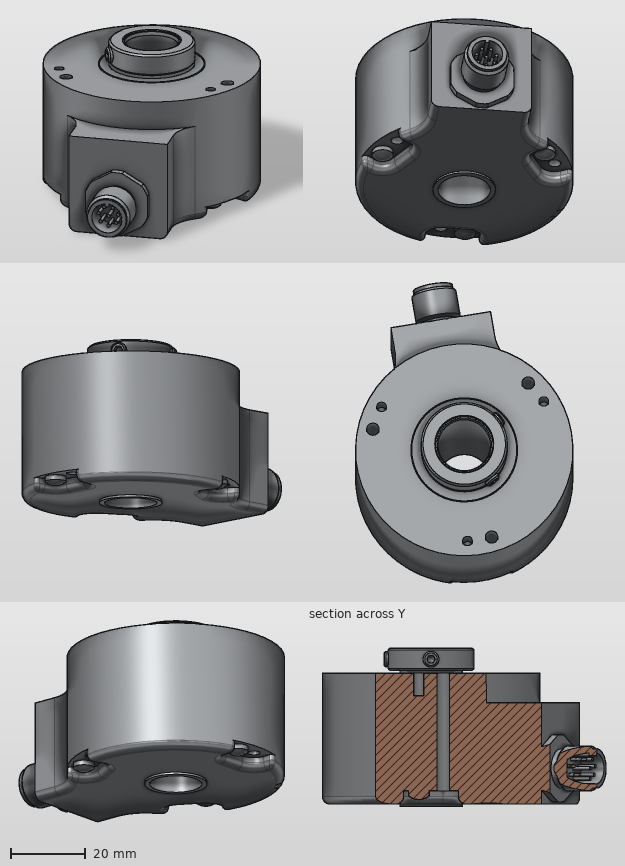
import cadquery as cq
import math


housing_radius = 29.0
housing_height = 35.0
bottom_fillet = 2.1

block_angle = -30
block_reach = 38.0
block_half_width = 13.5
block_height = 27.1
block_blend_radius = 10.0

bore_radius = 7.0
shaft_radius = 8.3
shaft_bottom = -0.6
shaft_end_drop = 0.4
lead_in_radius = 7.3
lead_in_length = 0.9
collar_radius = 11.5
collar_bore_radius = 7.65
collar_bore_chamfer = 0.2
collar_bottom = 35.7
collar_top = 41.7
collar_chamfer = 0.5

screw_angles = (180, 270)
screw_radius = 2.1
screw_chamfer = 0.45
screw_reach = 12.5
hex_socket_width = 2.0
hex_socket_depth = 1.5
drill_tip_depth = 0.6
screw_height = (collar_bottom + collar_top) / 2

recess_radius = 11.45
recess_depth = 0.4
groove_outer_radius = 14.25
groove_width = 0.2
groove_depth = 0.2

pair_angles = (30, 150, 270)
hole_circle_radius = 25
pair_half_angle = 7.5
through_hole_radius = 1.7
blind_hole_radius = 1.3
blind_hole_depth = 6.05

notch_height = 3.55
notch_corner_radius = 4.0
notch_mouth_radius = 1.0
head_radius = 2.8
head_rim_height = 2.3
head_crown_height = 1.2
head_crown_rise = head_rim_height - head_crown_height
head_crown_radius = (head_radius**2 + head_crown_rise**2) / (2 * head_crown_rise)

plug_height = 9.55
nut_across_flats = 17.0
nut_corner_radius = 9.0
nut_front = block_reach + 2.0
neck_radius = 5.2
neck_front = nut_front + 1.5
barrel_radius = 6.0
barrel_front = 49.9
barrel_chamfer = 0.75
tip_radius = 5.3
tip_front = 50.9
socket_radius = 4.1
socket_floor = 43.95
socket_depth = tip_front - socket_floor
pin_count = 7
pin_circle_radius = 2.7
pin_radius = 0.45
pin_front = 49.1
key_width = 1.05
key_depth = 0.75


def polar(radius, angle):
    """Point in the XY plane at a radius and an angle in degrees."""
    return radius * math.cos(math.radians(angle)), radius * math.sin(math.radians(angle))


def cylinder(radius, bottom, top):
    return cq.Workplane("XY").workplane(offset=bottom).circle(radius).extrude(top - bottom)


def spin(shape, angle):
    return shape.rotate((0, 0, 0), (0, 0, 1), angle)


def along_x(height):
    """Workplane facing +X at the given height, with its local x along +Y and local y along +Z."""
    return cq.Workplane("YZ", origin=(0, 0, height))


def make_block():
    """Connector block along +X whose sides blend into the housing with tangent concave arcs."""
    blend_y = block_half_width + block_blend_radius
    centre_distance = housing_radius + block_blend_radius
    blend_x = math.sqrt(centre_distance**2 - blend_y**2)
    touch_angle = math.degrees(math.atan2(blend_y, blend_x))
    touch_x, touch_y = polar(housing_radius, touch_angle)
    middle_angle = (touch_angle + 90) / 2
    middle_x = blend_x - block_blend_radius * math.cos(math.radians(middle_angle))
    middle_y = blend_y - block_blend_radius * math.sin(math.radians(middle_angle))
    block = (
        cq.Workplane("XY")
        .moveTo(0, 0)
        .lineTo(touch_x, -touch_y)
        .threePointArc((middle_x, -middle_y), (blend_x, -block_half_width))
        .lineTo(block_reach, -block_half_width)
        .lineTo(block_reach, block_half_width)
        .lineTo(blend_x, block_half_width)
        .threePointArc((middle_x, middle_y), (touch_x, touch_y))
        .close()
        .extrude(block_height)
    )
    return spin(block, block_angle)


def make_notch():
    """Rim pocket along +X with its two inner corners centred on a pair of holes."""
    corner_x, corner_y = polar(hole_circle_radius, pair_half_angle)
    inner_x = corner_x - notch_corner_radius
    half_width = corner_y + notch_corner_radius
    outer_x = housing_radius + notch_corner_radius
    return (
        cq.Workplane("XY")
        .center((inner_x + outer_x) / 2, 0)
        .rect(outer_x - inner_x, 2 * half_width)
        .extrude(notch_height)
        .edges("|Z and <X")
        .fillet(notch_corner_radius)
    )


def is_notch_mouth(edge):
    """True for a vertical edge where a notch wall meets the housing wall."""
    middle = edge.Center()
    on_wall = math.isclose(math.hypot(middle.x, middle.y), housing_radius, abs_tol=0.01)
    return on_wall and math.isclose(edge.Length(), notch_height - bottom_fillet, abs_tol=0.01)


def is_off_block_end(edge):
    """True for an edge that does not lie on the flat end face of the connector block."""
    middle = edge.Center()
    normal_x, normal_y = polar(1, block_angle)
    return middle.x * normal_x + middle.y * normal_y < block_reach - 0.01


def make_housing():
    """Housing and block with notches; the whole bottom rim but the block end is rounded."""
    housing = cylinder(housing_radius, 0, housing_height).union(make_block())
    for angle in pair_angles:
        housing = housing.cut(spin(make_notch(), angle))
    housing = housing.faces("<Z").edges().filter(is_off_block_end).fillet(bottom_fillet)
    return housing.edges("|Z").filter(is_notch_mouth).fillet(notch_mouth_radius)


def make_recess():
    return cylinder(recess_radius, housing_height - recess_depth, housing_height)


def make_groove():
    ring = cylinder(groove_outer_radius, housing_height - groove_depth, housing_height)
    return ring.cut(cylinder(groove_outer_radius - groove_width, 0, housing_height))


def make_hole_pair():
    """Through hole and blind hole on both sides of the +X axis."""
    through_hole = (
        cylinder(through_hole_radius, 0, housing_height)
        .translate(polar(hole_circle_radius, pair_half_angle) + (0,))
    )
    blind_hole = (
        cylinder(blind_hole_radius, housing_height - blind_hole_depth, housing_height)
        .translate(polar(hole_circle_radius, -pair_half_angle) + (0,))
    )
    return through_hole.union(blind_hole)


def make_screw_head():
    """Domed screw head hanging from the notch roof, in line with the blind hole."""
    head = (
        cq.Workplane("XZ")
        .moveTo(0, notch_height)
        .lineTo(head_radius, notch_height)
        .lineTo(head_radius, head_rim_height)
        .radiusArc((0, head_crown_height), head_crown_radius)
        .close()
        .revolve(360, (0, 0), (0, 1))
    )
    return head.translate(polar(hole_circle_radius, -pair_half_angle) + (0,))


def make_shaft():
    """Solid shaft with its clamp collar; the bore is cut separately."""
    shaft = cylinder(shaft_radius, shaft_bottom, collar_top)
    collar = cylinder(collar_radius, collar_bottom, collar_top).edges().chamfer(collar_chamfer)
    return shaft.union(collar)


def make_bore():
    """Through bore with a tapered lead-in; the shaft end sits slightly below the collar top."""
    shaft_end = collar_top - shaft_end_drop
    return (
        cq.Workplane("XZ")
        .moveTo(0, shaft_bottom)
        .lineTo(bore_radius, shaft_bottom)
        .lineTo(bore_radius, shaft_end - lead_in_length)
        .lineTo(lead_in_radius, shaft_end)
        .lineTo(collar_bore_radius, shaft_end)
        .lineTo(collar_bore_radius, collar_top - collar_bore_chamfer)
        .lineTo(collar_bore_radius + collar_bore_chamfer, collar_top)
        .lineTo(0, collar_top)
        .close()
        .revolve(360, (0, 0), (0, 1))
    )


def make_set_screw():
    """Set screw along +X, standing proud of the collar."""
    return (
        along_x(screw_height)
        .workplane(offset=collar_bore_radius)
        .circle(screw_radius)
        .extrude(screw_reach - collar_bore_radius)
        .faces(">X")
        .chamfer(screw_chamfer)
    )


def make_hex_socket():
    """Hexagon socket of a set screw along +X, ending in a drilled cone."""
    floor_x = screw_reach - hex_socket_depth
    corner_diameter = hex_socket_width / math.cos(math.radians(30))
    hexagon = along_x(screw_height).workplane(offset=floor_x).polygon(6, corner_diameter)
    cone_base = cq.Vector(floor_x, 0, screw_height)
    cone = cq.Solid.makeCone(hex_socket_width / 2, 0, drill_tip_depth, cone_base, cq.Vector(-1, 0, 0))
    return hexagon.extrude(hex_socket_depth).union(cq.Workplane(cone))


def make_nut():
    """Hexagon nut with its corners turned round."""
    thickness = nut_front - block_reach
    face = along_x(plug_height).workplane(offset=block_reach)
    corner_diameter = nut_across_flats / math.cos(math.radians(30))
    hexagon = face.transformed(rotate=(0, 0, 90)).polygon(6, corner_diameter).extrude(thickness)
    return hexagon.intersect(face.circle(nut_corner_radius).extrude(thickness))


def make_plug():
    """Stepped round plug along +X with an open socket, contact pins and a key."""
    flare = barrel_radius - neck_radius
    body = (
        cq.Workplane("XZ")
        .moveTo(block_reach, 0)
        .lineTo(block_reach, neck_radius)
        .lineTo(neck_front, neck_radius)
        .lineTo(neck_front + flare, barrel_radius)
        .lineTo(barrel_front - barrel_chamfer, barrel_radius)
        .lineTo(barrel_front, barrel_radius - barrel_chamfer)
        .lineTo(barrel_front, tip_radius)
        .lineTo(tip_front, tip_radius)
        .lineTo(tip_front, 0)
        .close()
        .revolve(360, (0, 0), (1, 0))
        .translate((0, 0, plug_height))
    )
    floor = along_x(plug_height).workplane(offset=socket_floor)
    body = body.cut(floor.circle(socket_radius).extrude(socket_depth))
    pin_step = 360 / pin_count
    pin_places = [(0, 0)]
    for index in range(pin_count):
        pin_places.append(polar(pin_circle_radius, 90 + pin_step * (index + 0.5)))
    pin_length = pin_front - socket_floor
    pins = floor.pushPoints(pin_places).circle(pin_radius).extrude(pin_length)
    key = floor.center(0, socket_radius).rect(key_width, 2 * key_depth).extrude(socket_depth)
    return body.union(pins).union(key)


result = make_housing().cut(make_groove()).cut(make_recess())
for angle in pair_angles:
    result = result.cut(spin(make_hole_pair(), angle))
    result = result.union(spin(make_screw_head(), angle))
result = result.union(make_shaft())
for angle in screw_angles:
    result = result.union(spin(make_set_screw(), angle)).cut(spin(make_hex_socket(), angle))
result = result.cut(make_bore())
result = result.union(spin(make_nut().union(make_plug()), block_angle))